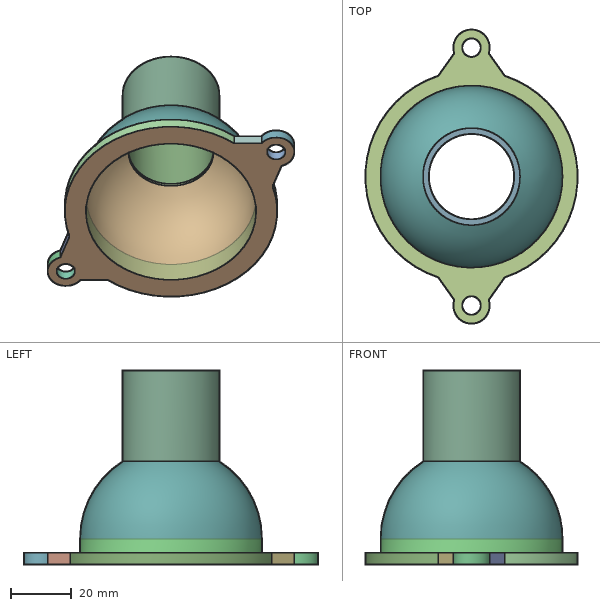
import cadquery as cq
import math

total_height = 64.0
total_length = 97.0

flange_radius = 70.0 / 2
flange_thickness = 4.0

tube_radius = 32.0 / 2
bore_radius = 28.0 / 2
wall = tube_radius - bore_radius

dome_radius = 60.0 / 2
dome_center_z = 8.6
cavity_radius = dome_radius - wall
tube_seat_z = dome_center_z + math.sqrt(dome_radius**2 - tube_radius**2)

ear_radius = 6.0
ear_hole_radius = 6.0 / 2
ear_offset = total_length / 2 - ear_radius
web_root_half_width = 11.0
web_tip_half_width = 5.7
web_root_y = math.sqrt(flange_radius**2 - web_root_half_width**2)
web_tip_y = ear_offset - math.sqrt(ear_radius**2 - web_tip_half_width**2)


def make_cylinder(radius, bottom, top):
    """Upright cylinder on the Z axis."""
    return cq.Workplane("XY").workplane(offset=bottom).circle(radius).extrude(top - bottom)


def make_domed_cylinder(radius):
    """Cylinder from the floor to the dome centre, closed by a hemisphere."""
    ball = cq.Workplane("XY").sphere(radius).translate((0, 0, dome_center_z))
    floor_cut = make_cylinder(2 * radius, dome_center_z - 2 * radius, dome_center_z)
    return ball.cut(floor_cut).union(make_cylinder(radius, 0, dome_center_z))


def make_ear(side):
    """Round ear and its tapered web; side is +1 or -1 along Y."""
    ear = make_cylinder(ear_radius, 0, flange_thickness).translate((0, side * ear_offset, 0))
    web = (
        cq.Workplane("XY")
        .moveTo(0, 0)
        .lineTo(web_root_half_width, side * web_root_y)
        .lineTo(web_tip_half_width, side * web_tip_y)
        .lineTo(-web_tip_half_width, side * web_tip_y)
        .lineTo(-web_root_half_width, side * web_root_y)
        .close()
        .extrude(flange_thickness)
    )
    return ear.union(web)


def make_housing():
    """Hollow dome on an eared flange, cut flat on top to seat the tube."""
    housing = make_cylinder(flange_radius, 0, flange_thickness).union(make_domed_cylinder(dome_radius))
    ear_hole = make_cylinder(ear_hole_radius, 0, flange_thickness)
    for side in (-1, 1):
        housing = housing.union(make_ear(side))
        housing = housing.cut(ear_hole.translate((0, side * ear_offset, 0)))
    housing = housing.cut(make_domed_cylinder(cavity_radius))
    housing = housing.cut(make_cylinder(bore_radius, dome_center_z, total_height))
    return housing.cut(make_cylinder(dome_radius, tube_seat_z, total_height))


def make_tube():
    """Straight tube standing on the flat top of the dome."""
    outside = make_cylinder(tube_radius, tube_seat_z, total_height)
    return outside.cut(make_cylinder(bore_radius, tube_seat_z, total_height))


housing = make_housing()
tube = make_tube()

result = cq.Compound.makeCompound([housing.val(), tube.val()])